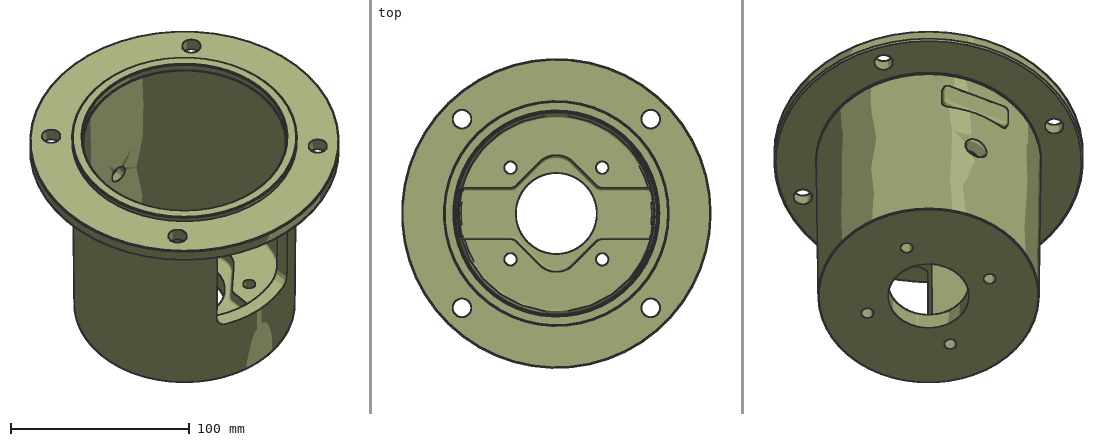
import cadquery as cq
import math

HEIGHT = 133.35
PILOT_HEIGHT = 3.175
FLANGE_TOP = HEIGHT - PILOT_HEIGHT
FLANGE_THICKNESS = 7.9
FLANGE_BOTTOM = FLANGE_TOP - FLANGE_THICKNESS

FLANGE_RADIUS = 172.97 / 2
FLANGE_TOP_CHAMFER = 0.5
FLANGE_BOTTOM_CHAMFER = 1.0
PILOT_RADIUS = 63.0
PILOT_CHAMFER = 0.6
FLANGE_HOLE_DIAMETER = 10.3
FLANGE_HOLE_OFFSET = 52.8

BODY_TOP_RADIUS = 62.9
BODY_DRAFT = 0.5
BODY_BOTTOM_CHAMFER = 0.5
COLLAR_RADIUS = 63.2
COLLAR_HEIGHT = 1.2

COUNTERBORE_RADIUS = 114.3 / 2
COUNTERBORE_DEPTH = 4.5
COUNTERBORE_CHAMFER = 0.6
BORE_TOP_RADIUS = 56.5
BORE_DRAFT = 1.0
FLOOR_TOP = 18.0
FLOOR_FILLET = 1.2

SHAFT_HOLE_DIAMETER = 45.2
BOLT_HOLE_DIAMETER = 6.8
BOLT_HOLE_OFFSET = 25.65

CHANNEL_DEPTH = 6.0
CHANNEL_DRAFT = 10.0
CHANNEL_HALF_WIDTH = 13.4
DIAMOND_CORNER = 36.7
DIAMOND_CORNER_RADIUS = 12.1
SHOULDER_RADIUS = 5.2
CHANNEL_FILLET = 1.1

WINDOW_BOTTOM = 42.4
WINDOW_TOP = 106.8
WINDOW_WIDTH = 54.4
WINDOW_DRAFT = 7.0
WINDOW_CORNER_RADIUS = 5.5

SIDE_HOLE_HEIGHT = 62.0
SIDE_HOLE_INNER_DIAMETER = 9.8
SIDE_HOLE_OUTER_DIAMETER = 12.0
SIDE_HOLE_ROUND = 1.6

PAD_FACE_X = -63.1
PAD_WIDTH = 40.0
PAD_HEIGHT = 16.8
PAD_CENTRE_HEIGHT = 101.3
PAD_DEPTH = 5.0
PAD_CORNER_RADIUS = 3.5
PAD_FACE_FILLET = 1.6


def body_radius(z):
    """Radius of the drafted outer wall at height z."""
    return BODY_TOP_RADIUS - (FLANGE_BOTTOM - z) * math.tan(math.radians(BODY_DRAFT))


def bore_radius(z):
    """Radius of the drafted bore at height z."""
    bore_top = HEIGHT - COUNTERBORE_DEPTH
    return BORE_TOP_RADIUS - (bore_top - z) * math.tan(math.radians(BORE_DRAFT))


def disc(radius, z_bottom, z_top):
    return cq.Workplane("XY").workplane(offset=z_bottom).circle(radius).extrude(z_top - z_bottom)


def cone(radius_at, z_bottom, z_top):
    """Solid of revolution whose radius follows radius_at between two heights."""
    profile = [
        (0, z_bottom),
        (radius_at(z_bottom), z_bottom),
        (radius_at(z_top), z_top),
        (0, z_top),
    ]
    return cq.Workplane("XZ").polyline(profile).close().revolve(360, (0, 0, 0), (0, 1, 0))


def square_holes(offset, diameter):
    """Four vertical through cutters on the corners of a square."""
    return (
        cq.Workplane("XY")
        .rect(2 * offset, 2 * offset, forConstruction=True)
        .vertices()
        .circle(diameter / 2)
        .extrude(HEIGHT)
    )


def make_outside():
    body = cone(body_radius, 0, FLANGE_TOP).faces("<Z").chamfer(BODY_BOTTOM_CHAMFER)
    collar = disc(COLLAR_RADIUS, FLANGE_BOTTOM - COLLAR_HEIGHT, FLANGE_TOP)
    flange = disc(FLANGE_RADIUS, FLANGE_BOTTOM, FLANGE_TOP)
    flange = flange.faces(">Z").chamfer(FLANGE_TOP_CHAMFER)
    flange = flange.faces("<Z").chamfer(FLANGE_BOTTOM_CHAMFER)
    pilot = disc(PILOT_RADIUS, FLANGE_TOP, HEIGHT).faces(">Z").chamfer(PILOT_CHAMFER)
    return body.union(collar).union(flange).union(pilot)


def make_pad():
    pad = cq.Workplane("XY").box(PAD_DEPTH, PAD_WIDTH, PAD_HEIGHT)
    pad = pad.edges("|X").fillet(PAD_CORNER_RADIUS)
    pad = pad.faces("<X").edges().fillet(PAD_FACE_FILLET)
    return pad.translate((PAD_FACE_X + PAD_DEPTH / 2, 0, PAD_CENTRE_HEIGHT))


def make_bore():
    bore = cone(bore_radius, FLOOR_TOP, HEIGHT).faces("<Z").edges().fillet(FLOOR_FILLET)
    counterbore = disc(COUNTERBORE_RADIUS, HEIGHT - COUNTERBORE_DEPTH, HEIGHT)
    mouth_radius = COUNTERBORE_RADIUS + COUNTERBORE_CHAMFER
    mouth = disc(mouth_radius, HEIGHT - COUNTERBORE_CHAMFER, HEIGHT)
    mouth = mouth.faces("<Z").chamfer(COUNTERBORE_CHAMFER - 0.001)
    return bore.union(counterbore).union(mouth)


def channel_outline():
    """Thin plate with the channel's outline at its floor: a straight slot crossed by a diamond."""
    diamond = [(DIAMOND_CORNER, 0), (0, DIAMOND_CORNER), (-DIAMOND_CORNER, 0), (0, -DIAMOND_CORNER)]
    plate = cq.Workplane("XY").polyline(diamond).close().extrude(1)
    plate = plate.edges("|Z and (>Y or <Y)").fillet(DIAMOND_CORNER_RADIUS)
    slot = cq.Workplane("XY").rect(2 * FLANGE_RADIUS, 2 * CHANNEL_HALF_WIDTH).extrude(1)
    shoulder_x = DIAMOND_CORNER - CHANNEL_HALF_WIDTH
    shoulders = [(sx * shoulder_x, sy * CHANNEL_HALF_WIDTH, 0.5) for sx in (-1, 1) for sy in (-1, 1)]
    plate = plate.union(slot)
    for shoulder in shoulders:
        plate = plate.edges(cq.selectors.NearestToPointSelector(shoulder)).fillet(SHOULDER_RADIUS)
    return plate.faces("<Z").wires().val()


def make_channel():
    """Drafted channel, bounded at its ends by the bore wall carried down to the channel floor."""
    z_bottom = FLOOR_TOP - CHANNEL_DEPTH
    z_top = FLOOR_TOP + 2 * FLOOR_FILLET
    outline = channel_outline().translate(cq.Vector(0, 0, z_bottom))
    channel = cq.Workplane("XY").add(outline).toPending().extrude(z_top - z_bottom, taper=-CHANNEL_DRAFT)
    channel = channel.intersect(cone(bore_radius, z_bottom, z_top))
    return channel.faces("<Z").edges().fillet(CHANNEL_FILLET)


def make_window():
    """Cutter that narrows with draft from the outer wall toward the bore."""
    window = (
        cq.Workplane("YZ")
        .workplane(offset=PILOT_RADIUS)
        .workplane(invert=True)
        .rect(WINDOW_WIDTH, WINDOW_TOP - WINDOW_BOTTOM)
        .extrude(PILOT_RADIUS / 2, taper=WINDOW_DRAFT)
    )
    window = window.edges("not (|Y or |Z)").fillet(WINDOW_CORNER_RADIUS)
    return window.translate((0, 0, (WINDOW_TOP + WINDOW_BOTTOM) / 2))


def make_side_hole():
    """Cutter that narrows toward the axis and flares with a round at the outer wall."""
    inner = SIDE_HOLE_INNER_DIAMETER / 2
    outer = SIDE_HOLE_OUTER_DIAMETER / 2
    mouth = outer + SIDE_HOLE_ROUND
    wall_x = body_radius(SIDE_HOLE_HEIGHT)
    round_start = wall_x - SIDE_HOLE_ROUND
    round_middle = (
        mouth - SIDE_HOLE_ROUND * math.cos(math.pi / 4),
        round_start + SIDE_HOLE_ROUND * math.sin(math.pi / 4),
    )
    cutter = (
        cq.Workplane("XZ")
        .lineTo(inner, 0)
        .lineTo(inner, bore_radius(SIDE_HOLE_HEIGHT))
        .lineTo(outer, round_start)
        .threePointArc(round_middle, (mouth, wall_x))
        .lineTo(mouth, FLANGE_RADIUS)
        .lineTo(0, FLANGE_RADIUS)
        .close()
        .revolve(360, (0, 0, 0), (0, 1, 0))
    )
    return cutter.rotate((0, 0, 0), (0, 1, 0), -90).translate((0, 0, SIDE_HOLE_HEIGHT))


def make_cavities():
    cavities = make_bore().union(make_channel())
    cavities = cavities.union(disc(SHAFT_HOLE_DIAMETER / 2, 0, HEIGHT / 2))
    cavities = cavities.union(square_holes(BOLT_HOLE_OFFSET, BOLT_HOLE_DIAMETER))
    cavities = cavities.union(make_window()).union(make_side_hole())
    return cavities.union(square_holes(FLANGE_HOLE_OFFSET, FLANGE_HOLE_DIAMETER))


result = make_outside().union(make_pad()).cut(make_cavities())